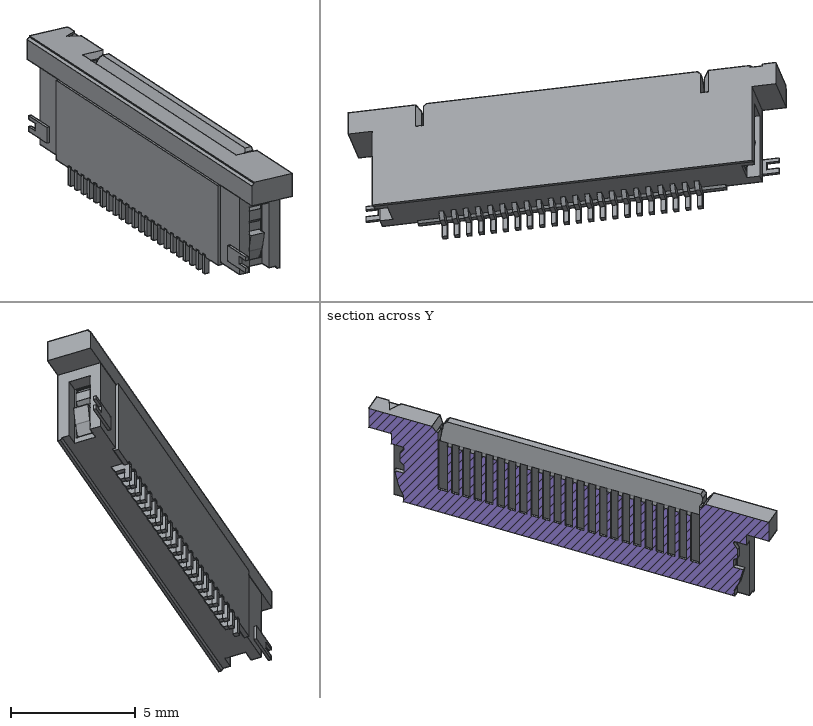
import cadquery as cq


head_length = 17.6
head_depth = 1.9
head_height = 1.0
head_chamfer_depth = 0.1
head_chamfer_height = 0.09
head_chamfer_step = 0.05

body_length = 15.63
body_depth = 1.88
body_drop = 4.36
panel_length = 12.67
panel_depth = 2.0
lip_height = 0.1
lip_slope = 0.07
lip_depth = 0.2

mark_x = -7.99
mark_width = 0.53
mark_depth = 0.53
mark_drop = 0.09

mouth_length = 12.04
mouth_depth = 0.97
mouth_bevel = 0.2
mouth_bevel_drop = 0.23
mouth_corner_depth = 0.15
cable_slot_length = 11.48
cable_slot_drop = 3.17

slider_pocket_depth = 0.5
slider_length = 11.4
slider_top_depth = 0.3
slider_foot_depth = 0.72
slider_slope_drop = 0.7
slider_end_chamfer = 0.12

pin_count = 22
pin_row_length = 10.5
pin_width = 0.2
pin_root_depth = 1.23
pin_knee_depth = 1.43
pin_front_depth = 2.05
pin_foot_thickness = 0.21
pin_top_drop = 4.36
pin_knee_drop = 4.68
pin_bottom_drop = 5.2
contact_depth = 0.8
contact_tip_fall = 0.1

recess_reach = 0.53
recess_back = 0.51
recess_front = 1.43
recess_top = 1.53
arm_margin = 0.05
arm_inset = 0.04
arm_top = 1.57
arm_bottom = 4.08
recess_floor_x = body_length / 2 - recess_reach
arm_x = recess_floor_x - arm_inset

latch_back = 0.63
latch_front = 1.27
stop_outline = [(0, 1.62), (0.18, 1.88), (0.18, 2.32), (0, 2.48)]
hook_outline = [(0, 2.85), (0.42, 2.85), (0.25, 3.59), (0, 4.12)]

tab_outer_x = 8.5
tab_inner_x = 7.08
tab_top = 3.33
tab_bottom = 4.01
fork_inner_x = 7.99
fork_top = 3.48
fork_bottom = 3.8


def block(x_range, depth_range, drop_range):
    """Box given by its X, depth and drop limits."""
    x_size = x_range[1] - x_range[0]
    y_size = depth_range[1] - depth_range[0]
    z_size = drop_range[1] - drop_range[0]
    box = cq.Workplane("XY").box(x_size, y_size, z_size, centered=False)
    return box.translate((x_range[0], -depth_range[1], -drop_range[1]))


def centred(length):
    """X limits of a length centred on the part."""
    return (-length / 2, length / 2)


def side_profile(points, length, x_centre=0):
    """Extrude a (depth, drop) outline along X."""
    outline = [(-depth, -drop) for depth, drop in points]
    plane = cq.Workplane("YZ", origin=(x_centre - length / 2, 0, 0))
    return plane.polyline(outline).close().extrude(length)


def front_profile(points, depth_range):
    """Extrude an (X, drop) outline from one depth to another."""
    outline = [(x, -drop) for x, drop in points]
    plane = cq.Workplane("XZ", origin=(0, -depth_range[0], 0))
    return plane.polyline(outline).close().extrude(depth_range[1] - depth_range[0])


def plan_profile(points, drop_range):
    """Extrude an (X, depth) outline from one drop to another."""
    outline = [(x, -depth) for x, depth in points]
    plane = cq.Workplane("XY", origin=(0, 0, -drop_range[1]))
    return plane.polyline(outline).close().extrude(drop_range[1] - drop_range[0])


def both_ends(shape):
    """The shape together with its mirror image at the other end."""
    return shape.union(shape.mirror("YZ"))


def make_head():
    outline = [
        (0, 0),
        (head_depth - head_chamfer_depth, 0),
        (head_depth - head_chamfer_depth, head_chamfer_step),
        (head_depth, head_chamfer_step + head_chamfer_height),
        (head_depth, head_height),
        (0, head_height),
    ]
    mark = plan_profile(
        [
            (mark_x - mark_width / 2, 0),
            (mark_x + mark_width / 2, 0),
            (mark_x, mark_depth),
        ],
        (0, mark_drop),
    )
    return side_profile(outline, head_length).cut(mark)


def make_body():
    lip_drop = body_drop + lip_height
    rear = side_profile(
        [
            (0, head_height),
            (body_depth, head_height),
            (body_depth, body_drop),
            (lip_depth, body_drop),
            (lip_depth - lip_slope, lip_drop),
            (0, lip_drop),
        ],
        body_length,
    )
    panel_back = panel_depth - lip_depth
    panel = side_profile(
        [
            (panel_back - lip_slope, head_height),
            (panel_depth, head_height),
            (panel_depth, lip_drop),
            (panel_back, lip_drop),
            (panel_back - lip_slope, body_drop),
        ],
        panel_length,
    )
    return rear.union(panel)


def make_mouth():
    outer_x = mouth_length / 2
    inner_x = outer_x - mouth_bevel
    bevel = front_profile(
        [
            (-outer_x, 0),
            (outer_x, 0),
            (inner_x, mouth_bevel_drop),
            (-inner_x, mouth_bevel_drop),
        ],
        (0, mouth_depth),
    )
    corner_pocket = plan_profile(
        [
            (-outer_x, 0),
            (outer_x, 0),
            (inner_x, mouth_corner_depth),
            (-inner_x, mouth_corner_depth),
        ],
        (0, head_height),
    )
    slider_pocket = block((-inner_x, inner_x), (0, slider_pocket_depth), (0, head_height))
    cable_slot = block(
        centred(cable_slot_length),
        (slider_pocket_depth, mouth_depth),
        (0, cable_slot_drop),
    )
    return bevel.union(corner_pocket).union(slider_pocket).union(cable_slot)


def make_slider():
    outline = [
        (0, 0),
        (slider_top_depth, 0),
        (slider_foot_depth, slider_slope_drop),
        (slider_foot_depth, cable_slot_drop),
        (0, cable_slot_drop),
    ]
    slider = side_profile(outline, slider_length)
    end_x = slider_length / 2
    corner = front_profile(
        [
            (end_x - slider_end_chamfer, 0),
            (end_x, 0),
            (end_x, slider_end_chamfer),
        ],
        (0, slider_foot_depth),
    )
    foot = block(
        centred(cable_slot_length),
        (slider_pocket_depth, slider_foot_depth),
        (slider_slope_drop, cable_slot_drop),
    )
    return slider.cut(both_ends(corner)).union(foot)


def make_pin(x_centre):
    foot_back = pin_front_depth - pin_foot_thickness
    pin = side_profile(
        [
            (pin_root_depth, pin_top_drop),
            (pin_front_depth, pin_top_drop),
            (pin_front_depth, pin_bottom_drop),
            (foot_back, pin_bottom_drop),
            (foot_back, pin_knee_drop),
            (pin_knee_depth, pin_knee_drop),
        ],
        pin_width,
        x_centre,
    )
    contact = side_profile(
        [
            (slider_foot_depth, slider_slope_drop),
            (contact_depth, slider_slope_drop + contact_tip_fall),
            (contact_depth, cable_slot_drop),
            (slider_foot_depth, cable_slot_drop),
        ],
        pin_width,
        x_centre,
    )
    return pin.union(contact)


def make_recess():
    opening = block(
        (recess_floor_x, body_length / 2),
        (recess_back, recess_front),
        (recess_top, body_drop + lip_height),
    )
    arm_face = block(
        (arm_x, recess_floor_x),
        (recess_back + arm_margin, recess_front - arm_margin),
        (arm_top, arm_bottom),
    )
    return both_ends(opening.union(arm_face))


def make_latches():
    latches = cq.Workplane("XY")
    for outline in (stop_outline, hook_outline):
        points = [(arm_x + height, drop) for height, drop in outline]
        latches = latches.union(front_profile(points, (latch_back, latch_front)))
    return both_ends(latches)


def make_tabs():
    tab = block(
        (tab_inner_x, tab_outer_x),
        (body_depth, panel_depth),
        (tab_top, tab_bottom),
    )
    fork_gap = block(
        (fork_inner_x, tab_outer_x),
        (body_depth, panel_depth),
        (fork_top, fork_bottom),
    )
    return both_ends(tab.cut(fork_gap))


result = make_head().union(make_body())
result = result.cut(make_mouth()).cut(make_recess())
result = result.union(make_slider()).union(make_latches()).union(make_tabs())
pin_pitch = pin_row_length / (pin_count - 1)
for index in range(pin_count):
    result = result.union(make_pin(-pin_row_length / 2 + index * pin_pitch))